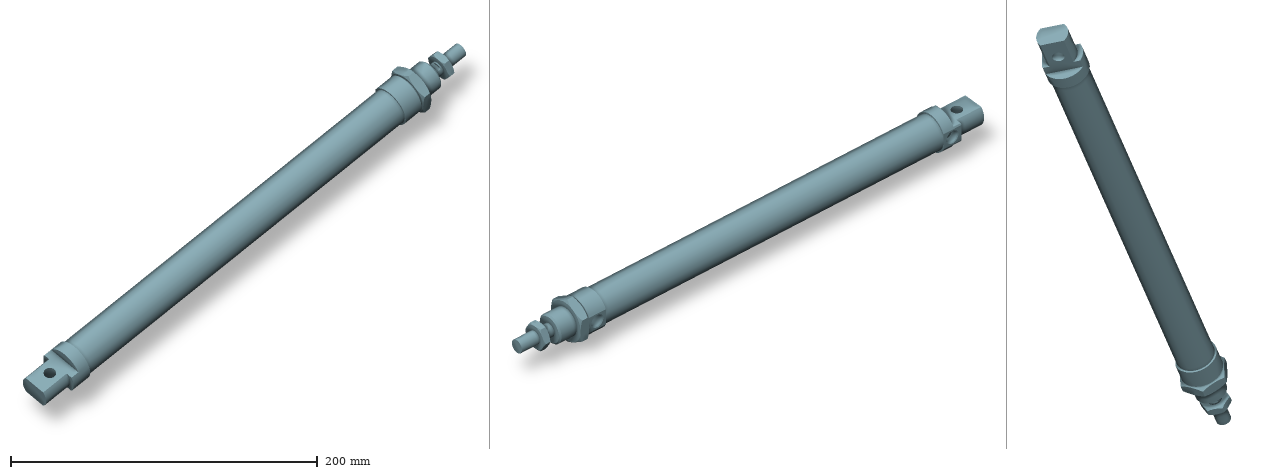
import cadquery as cq
import math

LENGTH = 390.0

REAR_CAP_START = 21.5
REAR_CAP_END = 36.5
FRONT_CAP_START = 325.3
FRONT_CAP_END = 339.5
THREAD_END = 362.5
MOUNT_NUT_START = 341.0
ROD_NUT_START = 369.5

BARREL_DIAMETER = 26.5
CAP_DIAMETER = 29.2
THREAD_DIAMETER = 22.0
THREAD_CHAMFER = 1.0
SHOULDER_DIAMETER = 26.5
TANG_DIAMETER = 22.0
TANG_THICKNESS = 15.0
TANG_FLAT_END = 27.5
PIVOT_HOLE_DIAMETER = 8.0
PIVOT_HOLE_Y = 14.0

PORT_DIAMETER = 9.0
PORT_MOUTH_DIAMETER = 10.0
PORT_FLAT_X = -BARREL_DIAMETER / 2
REAR_PORT_DEPTH = 6.0

ROD_DIAMETER = 10.0
ROD_FLAT_WIDTH = 7.0
ROD_FLAT_START = 366.0
ROD_FLAT_END = 368.0

MOUNT_NUT_FLATS = 30.0
MOUNT_NUT_THICKNESS = 7.5
ROD_NUT_FLATS = 18.0
ROD_NUT_THICKNESS = 5.5
NUT_BEVEL_ANGLE = 30.0


def cylinder(diameter, start, end):
    """Solid cylinder about the Y axis between two stations."""
    plane = cq.Workplane("XZ", origin=(0, start, 0))
    return plane.circle(diameter / 2).extrude(start - end)


def cut_cap_flat(housing, start, end):
    """Mill the port flat along one cap."""
    depth = CAP_DIAMETER / 2 + PORT_FLAT_X
    cutter = cq.Workplane("XY").box(depth, end - start, CAP_DIAMETER, centered=(False, False, True))
    return housing.cut(cutter.translate((-CAP_DIAMETER / 2, start, 0)))


def port(y, depth):
    """Blind port bore running inward along +X from the cap flat, with a 45 degree countersink."""
    plane = cq.Workplane("YZ", origin=(PORT_FLAT_X, y, 0))
    bore = plane.circle(PORT_DIAMETER / 2).extrude(depth)
    countersink = (PORT_MOUTH_DIAMETER - PORT_DIAMETER) / 2
    mouth = plane.circle(PORT_MOUTH_DIAMETER / 2).extrude(countersink, taper=45)
    return bore.union(mouth)


def make_housing():
    """Barrel, both caps, nut shoulder, threaded nose and clevis tang."""
    tang = cylinder(TANG_DIAMETER, 0, REAR_CAP_START)
    nose = cylinder(THREAD_DIAMETER, MOUNT_NUT_START, THREAD_END).faces(">Y").chamfer(THREAD_CHAMFER)
    housing = (
        cylinder(BARREL_DIAMETER, REAR_CAP_END, FRONT_CAP_START)
        .union(cylinder(CAP_DIAMETER, REAR_CAP_START, REAR_CAP_END))
        .union(cylinder(CAP_DIAMETER, FRONT_CAP_START, FRONT_CAP_END))
        .union(cylinder(SHOULDER_DIAMETER, FRONT_CAP_END, MOUNT_NUT_START))
        .union(nose)
        .union(tang)
    )

    for side in (-1, 1):
        cutter = cq.Workplane("XY").box(CAP_DIAMETER, TANG_FLAT_END, CAP_DIAMETER, centered=(True, False, True))
        housing = housing.cut(cutter.translate((0, 0, side * (TANG_THICKNESS + CAP_DIAMETER) / 2)))

    pivot = cq.Workplane("XY").center(0, PIVOT_HOLE_Y).circle(PIVOT_HOLE_DIAMETER / 2)
    housing = housing.cut(pivot.extrude(TANG_THICKNESS, both=True))

    housing = cut_cap_flat(housing, REAR_CAP_START, REAR_CAP_END)
    housing = cut_cap_flat(housing, FRONT_CAP_START, FRONT_CAP_END)
    housing = housing.cut(port((REAR_CAP_START + REAR_CAP_END) / 2, REAR_PORT_DEPTH))

    housing = housing.cut(port((FRONT_CAP_START + FRONT_CAP_END) / 2, -PORT_FLAT_X))
    return housing.cut(cylinder(ROD_DIAMETER, FRONT_CAP_START, THREAD_END))


def make_rod():
    """Piston rod with two wrench flats by the rod nut, each running out on a 45 degree ramp."""
    rod = cylinder(ROD_DIAMETER, FRONT_CAP_START, LENGTH)
    flat_z = ROD_FLAT_WIDTH / 2
    surface_z = ROD_DIAMETER / 2
    ramp = surface_z - flat_z
    cutter = (
        cq.Workplane("YZ")
        .moveTo(ROD_FLAT_START - ramp, surface_z)
        .lineTo(ROD_FLAT_START, flat_z)
        .lineTo(ROD_FLAT_END, flat_z)
        .lineTo(ROD_FLAT_END, surface_z)
        .close()
        .extrude(ROD_DIAMETER, both=True)
    )
    return rod.cut(cutter).cut(cutter.mirror("XY"))


def make_nut(across_flats, bore, start, thickness, corner_turn):
    """Hex nut about Y; both faces are bevelled across the corners."""
    corner_diameter = across_flats / math.cos(math.pi / 6)
    blank = (
        cq.Workplane("XZ", origin=(0, start, 0))
        .transformed(rotate=(0, 0, corner_turn))
        .polygon(6, corner_diameter)
        .extrude(-thickness)
    )
    bevel_width = (corner_diameter - across_flats) / 2
    bevel_height = bevel_width * math.tan(math.radians(NUT_BEVEL_ANGLE))
    turned = cylinder(corner_diameter, start, start + thickness)
    turned = turned.faces("<Y or >Y").edges().chamfer(bevel_height, bevel_width)
    return blank.intersect(turned).cut(cylinder(bore, start, start + thickness))


housing = make_housing()
rod = make_rod()
mount_nut = make_nut(MOUNT_NUT_FLATS, THREAD_DIAMETER, MOUNT_NUT_START, MOUNT_NUT_THICKNESS, 90)
rod_nut = make_nut(ROD_NUT_FLATS, ROD_DIAMETER, ROD_NUT_START, ROD_NUT_THICKNESS, 0)

result = cq.Compound.makeCompound([housing.val(), rod.val(), mount_nut.val(), rod_nut.val()])